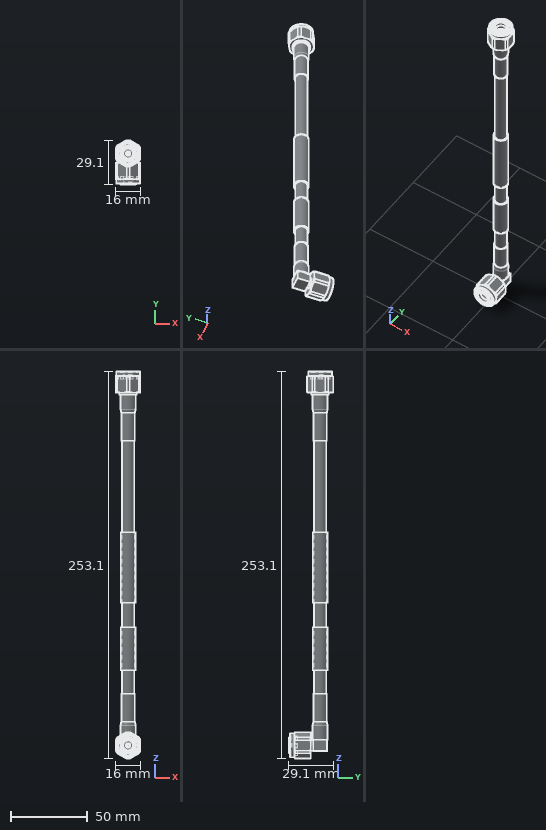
import cadquery as cq

TOTAL_DEPTH = 29.14
TOTAL_HEIGHT = 253.11

CABLE_R = 4.1
SLEEVE_R = 4.9
LONG_SLEEVE_BOTTOM = 93.3
LONG_SLEEVE_LENGTH = 45.8
SHORT_SLEEVE_BOTTOM = 49.0
SHORT_SLEEVE_LENGTH = 28.2

NUT_FLATS = 16.0
NUT_CORNER_R = 8.7
NUT_LENGTH = 13.9
COLLAR_R = 7.9
COLLAR_LENGTH = 3.0
COLLAR_CHAMFER = 0.4
NUT_BACK_R = 8.2
NUT_SLOPE = 0.5

NUT_BORE_R = 6.4
NUT_BORE_MOUTH_R = 7.0
NUT_BORE_DEPTH = 5.0
TUBE_R = 5.2
TUBE_BORE_R = 3.2
TUBE_MOUTH_R = 3.9
TUBE_MOUTH_DEPTH = 2.0
TUBE_BORE_DEPTH = 7.0
TUBE_RIM_CHAMFER = 0.4
RECESS_R = 2.4
RECESS_DEPTH = 1.0
INNER_CONTACT_R = 1.5
INNER_CONTACT_BORE_R = 0.8
INNER_CONTACT_LENGTH = 4.0
ELBOW_TUBE_PROJECTION = 0.6

BARREL_R = 5.0
TAPER_LENGTH = 2.3
FERRULE_R = 4.5
FERRULE_LENGTH = 18.3
SHOULDER_R = 5.8
SHOULDER_LENGTH = 1.5
STRAIGHT_BARREL_LENGTH = 9.4
NECK_R = 3.6
BLOCK_WIDTH = 9.1
BLOCK_HEIGHT = 7.6
ELBOW_BARREL_TOP = 13.0

STRAIGHT_FACE_Z = TOTAL_HEIGHT - NUT_CORNER_R
ELBOW_FACE_Y = NUT_CORNER_R - TOTAL_DEPTH + ELBOW_TUBE_PROJECTION
NUT_BACK_Z = STRAIGHT_FACE_Z - NUT_LENGTH
SHOULDER_BACK_Z = NUT_BACK_Z - SHOULDER_LENGTH
BARREL_BACK_Z = SHOULDER_BACK_Z - STRAIGHT_BARREL_LENGTH
CABLE_TOP = BARREL_BACK_Z - TAPER_LENGTH
CABLE_BOTTOM = ELBOW_BARREL_TOP + TAPER_LENGTH


def cylinder(radius, bottom, length):
    return cq.Workplane("XY").workplane(offset=bottom).circle(radius).extrude(length)


def revolve_about_z(points):
    """Turn an outline of (radius, Z) points around the Z axis."""
    return cq.Workplane("XZ").polyline(points).close().revolve(360, (0, 0, 0), (0, 1, 0))


def make_tube(outer_radius, bore_radius, bottom, length):
    return cylinder(outer_radius, bottom, length).cut(cylinder(bore_radius, bottom, length))


def make_sleeve(bottom, length):
    return make_tube(SLEEVE_R, CABLE_R, bottom, length)


def make_mating_end(tube_face):
    """Coupling nut facing +Z with its rim at Z = 0, and its contact tube ending at tube_face."""
    hexagon = (
        cq.Workplane("XY")
        .workplane(offset=-NUT_LENGTH)
        .polygon(6, NUT_FLATS, circumscribed=True)
        .extrude(NUT_LENGTH)
    )
    envelope = revolve_about_z([
        (0, -NUT_LENGTH),
        (NUT_BACK_R, -NUT_LENGTH),
        (NUT_CORNER_R, -NUT_LENGTH + NUT_SLOPE),
        (NUT_CORNER_R, -COLLAR_LENGTH - NUT_SLOPE),
        (COLLAR_R, -COLLAR_LENGTH),
        (COLLAR_R, -COLLAR_CHAMFER),
        (COLLAR_R - COLLAR_CHAMFER, 0),
        (0, 0),
    ])
    nut_bore = revolve_about_z([
        (0, -NUT_BORE_DEPTH),
        (NUT_BORE_R, -NUT_BORE_DEPTH),
        (NUT_BORE_R, NUT_BORE_R - NUT_BORE_MOUTH_R),
        (NUT_BORE_MOUTH_R, 0),
        (0, 0),
    ])
    tube_bore_bottom = tube_face - TUBE_BORE_DEPTH
    recess_bottom = tube_bore_bottom - RECESS_DEPTH
    tube = revolve_about_z([
        (0, -NUT_LENGTH),
        (TUBE_R, -NUT_LENGTH),
        (TUBE_R, tube_face - TUBE_RIM_CHAMFER),
        (TUBE_R - TUBE_RIM_CHAMFER, tube_face),
        (TUBE_MOUTH_R, tube_face),
        (TUBE_BORE_R, tube_face - TUBE_MOUTH_DEPTH),
        (TUBE_BORE_R, tube_bore_bottom),
        (RECESS_R, tube_bore_bottom),
        (RECESS_R, recess_bottom),
        (0, recess_bottom),
    ])
    inner_contact = make_tube(
        INNER_CONTACT_R, INNER_CONTACT_BORE_R, recess_bottom, INNER_CONTACT_LENGTH
    )
    return hexagon.intersect(envelope).cut(nut_bore).union(tube).union(inner_contact)


def make_ferrule_with_taper(barrel_end, direction):
    """Taper from the barrel down to the ferrule, bored for the cable; direction is +1 up, -1 down."""
    taper_end = barrel_end + direction * TAPER_LENGTH
    ferrule_end = taper_end + direction * FERRULE_LENGTH
    return revolve_about_z([
        (0, barrel_end),
        (BARREL_R, barrel_end),
        (FERRULE_R, taper_end),
        (FERRULE_R, ferrule_end),
        (CABLE_R, ferrule_end),
        (CABLE_R, taper_end),
        (0, taper_end),
    ])


def make_straight_connector():
    nut = make_mating_end(0).translate((0, 0, STRAIGHT_FACE_Z))
    shoulder = cylinder(SHOULDER_R, SHOULDER_BACK_Z, SHOULDER_LENGTH)
    barrel = cylinder(BARREL_R, BARREL_BACK_Z, STRAIGHT_BARREL_LENGTH)
    return nut.union(shoulder).union(barrel).union(make_ferrule_with_taper(BARREL_BACK_Z, -1))


def make_elbow_connector():
    nut = make_mating_end(ELBOW_TUBE_PROJECTION).rotate((0, 0, 0), (1, 0, 0), 90)
    nut = nut.translate((0, ELBOW_FACE_Y, 0))
    block = cq.Workplane("XY").box(BLOCK_WIDTH, BLOCK_WIDTH, BLOCK_HEIGHT)
    neck = cq.Workplane("XZ").circle(NECK_R).extrude(-ELBOW_FACE_Y - NUT_LENGTH)
    barrel = cylinder(BARREL_R, BLOCK_HEIGHT / 2, ELBOW_BARREL_TOP - BLOCK_HEIGHT / 2)
    elbow = block.union(neck).union(nut).union(barrel)
    return elbow.union(make_ferrule_with_taper(ELBOW_BARREL_TOP, 1))


cable = cylinder(CABLE_R, CABLE_BOTTOM, CABLE_TOP - CABLE_BOTTOM)
long_sleeve = make_sleeve(LONG_SLEEVE_BOTTOM, LONG_SLEEVE_LENGTH)
short_sleeve = make_sleeve(SHORT_SLEEVE_BOTTOM, SHORT_SLEEVE_LENGTH)
straight_connector = make_straight_connector()
elbow_connector = make_elbow_connector()

result = cq.Compound.makeCompound([
    cable.val(),
    long_sleeve.val(),
    short_sleeve.val(),
    straight_connector.val(),
    elbow_connector.val(),
])